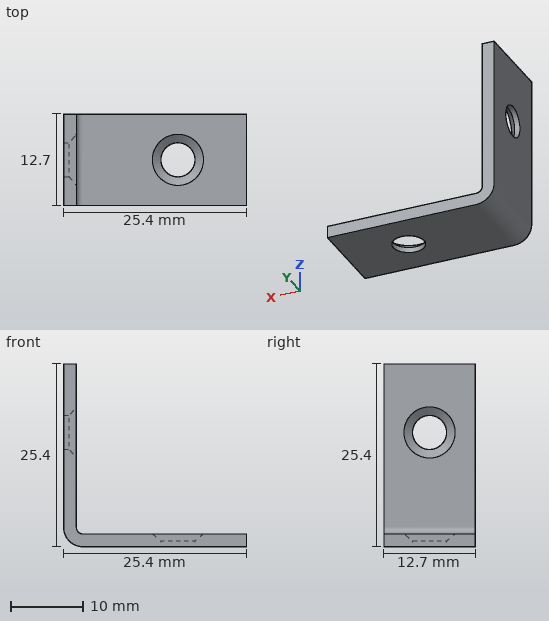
import cadquery as cq

leg_length = 25.4
width = 12.7
thickness = 1.8
inner_bend_radius = 0.9
outer_bend_radius = inner_bend_radius + thickness

hole_diameter = 4.7
countersink_diameter = 7.1
countersink_angle = 100
hole_distance = 15.875
hole_y = width / 2


def bent_strip():
    """L-shaped strip with its outer corner edge on the Y axis."""
    profile = (
        cq.Workplane("XZ")
        .moveTo(outer_bend_radius, 0)
        .lineTo(leg_length, 0)
        .lineTo(leg_length, thickness)
        .lineTo(outer_bend_radius, thickness)
        .radiusArc((thickness, outer_bend_radius), inner_bend_radius)
        .lineTo(thickness, leg_length)
        .lineTo(0, leg_length)
        .lineTo(0, outer_bend_radius)
        .radiusArc((outer_bend_radius, 0), -outer_bend_radius)
        .close()
    )
    return profile.extrude(-width)


def drill_countersunk(body, center, inward_normal):
    """Cut a countersunk hole through one leg, starting at its inner face."""
    inner_face = cq.Plane(origin=center, xDir=(0, 1, 0), normal=inward_normal)
    return body.copyWorkplane(cq.Workplane(inner_face)).cskHole(
        hole_diameter, countersink_diameter, countersink_angle, depth=thickness
    )


bracket = bent_strip()
bracket = drill_countersunk(bracket, (hole_distance, hole_y, thickness), (0, 0, 1))
result = drill_countersunk(bracket, (thickness, hole_y, hole_distance), (1, 0, 0))